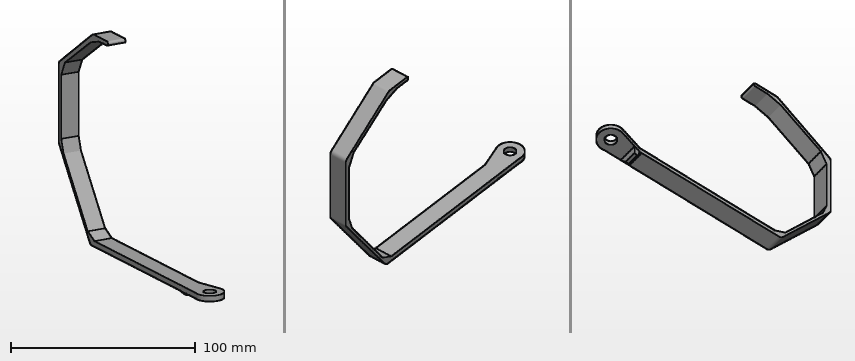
import cadquery as cq
import math

length = 156.4
height = 120.1
strip_width = 11.0
arm_thickness = 3.3
wall_thickness = 3.0
lip_thickness = 2.5
lip_end_x = 53.0
bend_radius = 3.1
lip_end_radius = lip_thickness / 2

arm_corner_x = 34.1
wall_bottom_z = 48.8
wall_top_z = 94.3
lip_corner_x = 36.8

eye_radius = 8.0
side_overhang = 0.2
hole_diameter = 6.9
taper_start_x = 131.0
eye_x = length - eye_radius
eye_y = eye_radius - side_overhang
eye_start_x = eye_x - math.sqrt(eye_radius**2 - eye_y**2)

catch_start_x = 129.7
catch_end_x = 135.6
catch_depth = 1.9
catch_taper = 45.0

run = eye_x - taper_start_x
rise = eye_y - strip_width
taper_angle = math.atan2(rise, run) + math.asin(eye_radius / math.hypot(run, rise))
tangent_x = eye_x - eye_radius * math.sin(taper_angle)
tangent_y = eye_y + eye_radius * math.cos(taper_angle)


def taper_edge_y(x):
    """Far edge of the arm at a given x along the taper."""
    return strip_width + max(0, x - taper_start_x) * math.tan(taper_angle)


def make_hook():
    """Bent strip with flat reinforcing facets inside each bend."""
    outer_bends = [
        (arm_corner_x, 0),
        (0, wall_bottom_z),
        (0, wall_top_z),
        (lip_corner_x, height),
    ]
    inner_facets = [
        (43.5, height - lip_thickness),
        (34.4, 114.8),
        (6.9, 95.9),
        (wall_thickness, 87.9),
        (wall_thickness, 51.6),
        (5.5, 44.0),
        (31.3, 6.9),
        (38.5, arm_thickness),
    ]
    arm_end = [(taper_start_x, arm_thickness), (taper_start_x, 0)]
    lip_round_x = lip_end_x - lip_end_radius
    hook = (
        cq.Workplane("XZ")
        .polyline(arm_end + outer_bends + [(lip_round_x, height)])
        .threePointArc((lip_end_x, height - lip_end_radius), (lip_round_x, height - lip_thickness))
    )
    for x, z in inner_facets:
        hook = hook.lineTo(x, z)
    hook = hook.close().extrude(-strip_width)

    for x, z in outer_bends:
        bend = cq.selectors.NearestToPointSelector((x, strip_width / 2, z))
        hook = hook.edges("|Y").edges(bend).fillet(bend_radius)
    return hook


def make_eye():
    """Flared end of the arm, rounded about the hole."""
    return (
        cq.Workplane("XY")
        .moveTo(taper_start_x, 0)
        .lineTo(eye_start_x, 0)
        .threePointArc((length, eye_y), (tangent_x, tangent_y))
        .lineTo(taper_start_x, strip_width)
        .close()
        .extrude(arm_thickness)
    )


def make_catch():
    """Ridge across the underside, sloping inward on all sides."""
    base = [
        (catch_start_x, 0),
        (catch_end_x, 0),
        (catch_end_x, taper_edge_y(catch_end_x)),
        (taper_start_x, strip_width),
        (catch_start_x, strip_width),
    ]
    return cq.Workplane("XY").polyline(base).close().extrude(-catch_depth, taper=catch_taper)


hole = cq.Workplane("XY").center(eye_x, eye_y).circle(hole_diameter / 2).extrude(arm_thickness)
result = make_hook().union(make_eye()).union(make_catch()).cut(hole).clean()